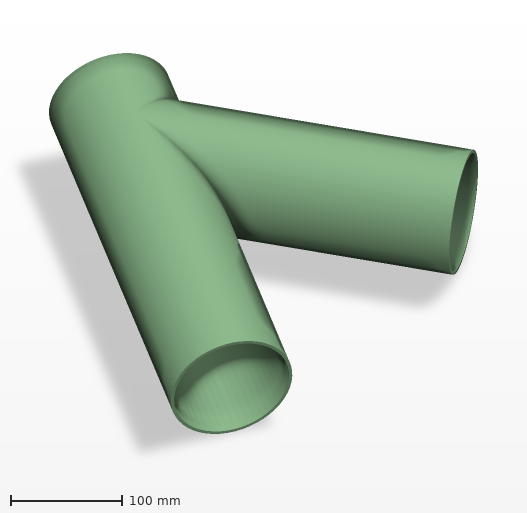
import cadquery as cq
import math

main_length = 381.0
outer_diameter = 114.3
bore_diameter = 108.2
branch_offset = 76.2
branch_length = 304.8
branch_angle = math.radians(60.0)

main_direction = cq.Vector(1, 0, 0)
branch_direction = cq.Vector(math.cos(branch_angle), math.sin(branch_angle), 0)

axis_crossing = cq.Vector(0, 0, 0)
main_start = main_direction * -branch_offset


def rod(diameter, length, start, direction):
    """Solid round bar running from start along direction."""
    return cq.Workplane(cq.Solid.makeCylinder(diameter / 2, length, start, direction))


def pipe_pair(diameter):
    """Main and branch bars of one diameter, joined."""
    main = rod(diameter, main_length, main_start, main_direction)
    branch = rod(diameter, branch_length, axis_crossing, branch_direction)
    return main.union(branch)


result = pipe_pair(outer_diameter).cut(pipe_pair(bore_diameter))